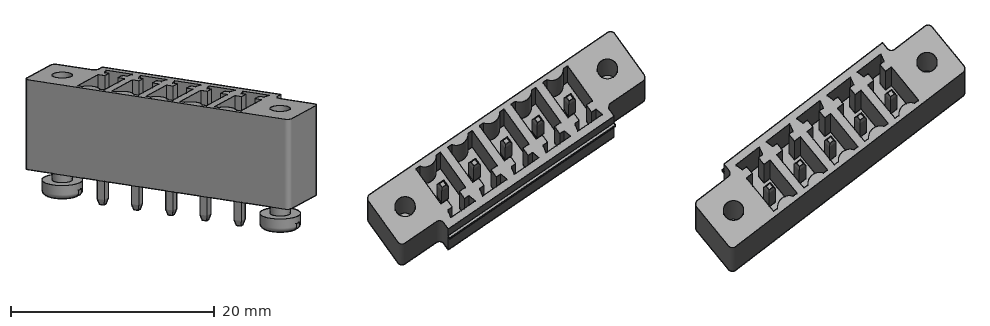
import cadquery as cq
import math


length = 29.45
ear_depth = 6.0
block_depth = 7.27
block_length = 19.85
height = 9.2
corner_radius = 0.5

rib_projection = 0.26
rib_height = 0.62
rib_bottom = 5.65

pocket_count = 5
pitch = 3.8
pocket_floor = 2.0
pocket_front = 0.5
shoulder_front = 4.8
shoulder_back = 5.68
pocket_back = 6.48
pocket_half_width = 1.47
neck_half_width = 0.75
key_half_width = 1.27
bump_half_width = 0.97
bump_height = 0.53

axis_y = ear_depth / 2

pin_width = 0.82
pin_tip_width = 0.47
pin_taper = 0.6
pin_bottom = -3.4
pin_top = 7.77

screw_to_end_pin = 4.5
screw_x = (pocket_count - 1) / 2 * pitch + screw_to_end_pin
shank_diameter = 2.0
head_diameter = 4.0
head_top = -1.5
head_thickness = 1.5
head_edge_radius = 0.53
slot_width = 0.62
slot_depth = 0.8
screw_hole_floor = pocket_floor


def make_housing():
    """Centre block with a shallower ear at each end and a rib across its back."""
    ears = cq.Workplane("XY").box(length, ear_depth, height, centered=(True, False, False))
    ears = ears.edges("|Z").fillet(corner_radius)
    block = cq.Workplane("XY").box(block_length, block_depth, height, centered=(True, False, False))
    housing = ears.union(block)
    for side in (-1, 1):
        inner_corner = (side * block_length / 2, ear_depth, height / 2)
        housing = housing.edges(cq.NearestToPointSelector(inner_corner)).fillet(corner_radius)
    rib_depth = block_depth + rib_projection - pocket_back
    rib = (
        cq.Workplane("XY", origin=(0, pocket_back, rib_bottom))
        .box(block_length, rib_depth, rib_height, centered=(True, False, False))
    )
    return housing.union(rib)


def make_pocket(x):
    """Pocket with a dovetail key at the back and a rounded bump on its front wall."""
    return (
        cq.Workplane("XY", origin=(x, 0, pocket_floor))
        .moveTo(-pocket_half_width, pocket_front)
        .lineTo(-bump_half_width, pocket_front)
        .threePointArc((0, pocket_front + bump_height), (bump_half_width, pocket_front))
        .lineTo(pocket_half_width, pocket_front)
        .lineTo(pocket_half_width, shoulder_front)
        .lineTo(neck_half_width, shoulder_front)
        .lineTo(neck_half_width, shoulder_back)
        .lineTo(key_half_width, shoulder_back)
        .lineTo(pocket_half_width, pocket_back)
        .lineTo(-pocket_half_width, pocket_back)
        .lineTo(-key_half_width, shoulder_back)
        .lineTo(-neck_half_width, shoulder_back)
        .lineTo(-neck_half_width, shoulder_front)
        .lineTo(-pocket_half_width, shoulder_front)
        .close()
        .extrude(height - pocket_floor)
    )


def make_pin(x):
    """Square pin tapered at both ends."""
    taper_angle = math.degrees(math.atan((pin_width - pin_tip_width) / 2 / pin_taper))
    shaft_length = pin_top - pin_bottom - 2 * pin_taper
    shaft = (
        cq.Workplane("XY", origin=(x, axis_y, pin_bottom + pin_taper))
        .rect(pin_width, pin_width)
        .extrude(shaft_length)
    )
    upper_tip = (
        cq.Workplane("XY", origin=(x, axis_y, pin_top - pin_taper))
        .rect(pin_width, pin_width)
        .extrude(pin_taper, taper=taper_angle)
    )
    lower_tip = (
        cq.Workplane("XY", origin=(x, axis_y, pin_bottom + pin_taper))
        .rect(pin_width, pin_width)
        .extrude(-pin_taper, taper=taper_angle)
    )
    return shaft.union(upper_tip).union(lower_tip)


def make_screw(x):
    """Shank and slotted round head hanging below an ear."""
    head_bottom = head_top - head_thickness
    shank = (
        cq.Workplane("XY", origin=(x, axis_y, head_top))
        .circle(shank_diameter / 2)
        .extrude(-head_top)
    )
    head = (
        cq.Workplane("XY", origin=(x, axis_y, head_bottom))
        .circle(head_diameter / 2)
        .extrude(head_thickness)
        .faces("<Z")
        .edges()
        .fillet(head_edge_radius)
    )
    slot = (
        cq.Workplane("XY", origin=(x, axis_y, head_bottom))
        .box(head_diameter, slot_width, slot_depth, centered=(True, True, False))
    )
    return head.cut(slot).union(shank)


def make_screw_hole(x):
    """Blind hole in the top of an ear, in line with the screw."""
    return (
        cq.Workplane("XY", origin=(x, axis_y, screw_hole_floor))
        .circle(shank_diameter / 2)
        .extrude(height - screw_hole_floor)
    )


result = make_housing()

for i in range(pocket_count):
    pocket_x = (i - (pocket_count - 1) / 2) * pitch
    result = result.cut(make_pocket(pocket_x)).union(make_pin(pocket_x))

for side in (-1, 1):
    result = result.cut(make_screw_hole(side * screw_x)).union(make_screw(side * screw_x))